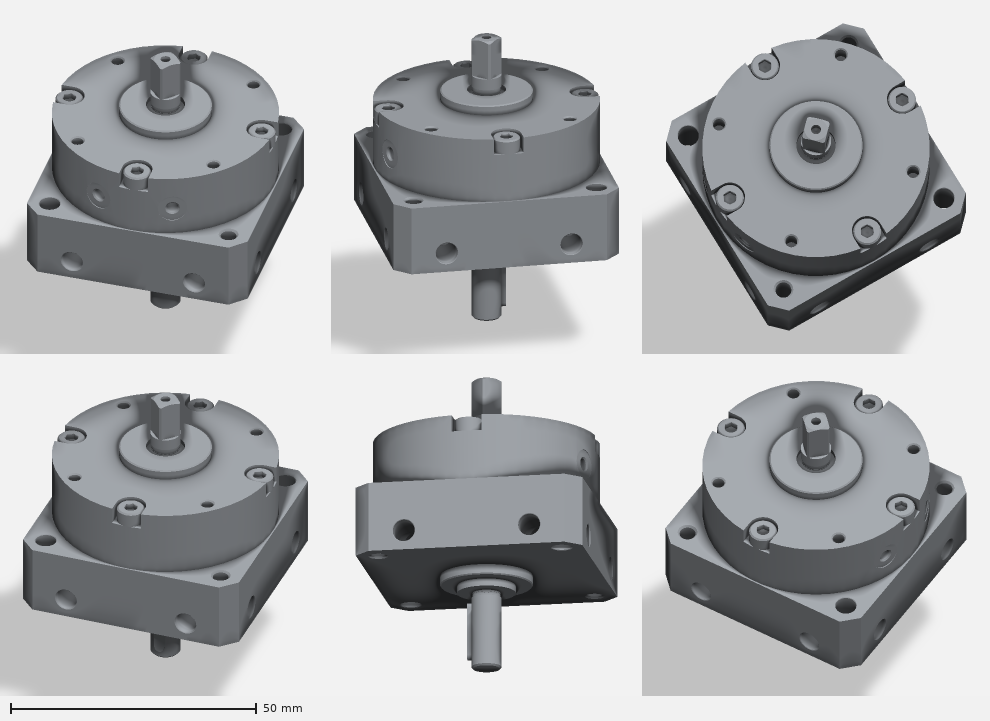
import cadquery as cq
import math

BLOCK_HEIGHT = 14.4
DRUM_TOP = 28.0
TOP_BOSS_TOP = 30.1
LOWER_BOSS_BOTTOM = -2.1
COLLAR_BOTTOM = -3.6
SHAFT_TOP = 41.4
SHAFT_LENGTH = 61.0
SHAFT_BOTTOM = SHAFT_TOP - SHAFT_LENGTH

BLOCK_SIDE = 47.0
BLOCK_CORNER_CUT = 3.2
CORNER_HOLE_OFFSET = 19.05
CLEARANCE_DIAMETER = 4.3
CLEARANCE_MOUTH = 4.5
THREADED_CORNER_DIAMETER = 3.25
THREADED_CORNER_MOUTH = 4.0
CROSS_HOLE_DIAMETER = 4.5
CROSS_HOLE_MOUTH = 4.75
CROSS_HOLE_OFFSET = 13.0
CROSS_HOLE_HEIGHT = 4.0

DRUM_DIAMETER = 46.4
BOSS_DIAMETER = 19.0
BOSS_CHAMFER = 0.25
COLLAR_DIAMETER = 12.0

BOLT_CIRCLE_RADIUS = 20.45
SCREW_HEAD_DIAMETER = 5.7
SCREW_HEAD_TOP = 27.6
SCREW_HEAD_CHAMFER = 0.3
SOCKET_ACROSS_FLATS = 2.5
SOCKET_MOUTH = 2.8
SOCKET_DEPTH = 1.3
POCKET_WIDTH = 6.2
POCKET_FLOOR = 24.6
THREAD_DIAMETER = 2.45
THREAD_MOUTH = 3.0
COVER_HOLE_DEPTH = 4.9

PORT_ANGLE = 20.0
PORT_HEIGHT = 20.55
PORT_FACE_DIAMETER = 6.0
PORT_DEPTH = 5.5

SHAFT_DIAMETER = 6.2
NECK_DIAMETER = 5.8
GROOVE_DIAMETER = 5.7
GROOVE_WIDTH = 0.35
UPPER_SHOULDER = 31.0
LOWER_SHOULDER = -4.7
UPPER_GROOVE_TOP = 30.2
LOWER_GROOVE_TOP = -3.9
SHAFT_END_CHAMFER = 0.35
SQUARE_BOTTOM = 33.35
SQUARE_ACROSS_FLATS = 4.75
TOP_END_DIAMETER = 4.65
TOP_END_CHAMFER_HEIGHT = 0.35
CENTRE_HOLE_DIAMETER = 2.0
CENTRE_HOLE_DEPTH = 2.0
CORE_DIAMETER = 8.0
CORE_CONE_HEIGHT = 0.6
UPPER_CONE_TOP = 29.65

KEY_WIDTH = 2.0
KEY_LENGTH = 12.0
KEY_TOP = -5.6
KEY_FACE = 3.9

DRILL_POINT_ANGLE = 118.0


def cylinder(diameter, bottom, top):
    """Cylinder on the Z axis between two heights."""
    return cq.Workplane("XY").workplane(offset=bottom).circle(diameter / 2).extrude(top - bottom)


def cone(bottom_diameter, top_diameter, height):
    """Cone frustum on the Z axis, standing on z = 0."""
    return cq.Workplane(cq.Solid.makeCone(bottom_diameter / 2, top_diameter / 2, height))


def mouth_chamfer(diameter, mouth):
    """45 degree countersink that opens upward and ends at z = 0."""
    depth = (mouth - diameter) / 2
    return cone(diameter, mouth, depth).translate((0, 0, -depth))


def blind_hole(diameter, mouth, depth):
    """Flat-bottomed hole going down from z = 0, with a chamfered mouth."""
    return cylinder(diameter, -depth, 0).union(mouth_chamfer(diameter, mouth))


def through_hole(diameter, mouth, length):
    """Hole of the given length going down from z = 0, chamfered at both ends."""
    lower_mouth = mouth_chamfer(diameter, mouth).mirror("XY").translate((0, 0, -length))
    return blind_hole(diameter, mouth, length).union(lower_mouth)


def drilled_hole(diameter, depth):
    """Hole going down from z = 0, whose floor is a drill point."""
    point_height = diameter / 2 / math.tan(math.radians(DRILL_POINT_ANGLE / 2))
    point = cone(0, diameter, point_height).translate((0, 0, -depth - point_height))
    return cylinder(diameter, -depth, 0).union(point)


def square_block():
    block = cq.Workplane("XY").rect(BLOCK_SIDE, BLOCK_SIDE).extrude(BLOCK_HEIGHT)
    return block.edges("|Z").chamfer(BLOCK_CORNER_CUT)


def cut_corner_holes(body):
    """Clearance holes on one diagonal of the block and tapped holes on the other."""
    clearance = through_hole(CLEARANCE_DIAMETER, CLEARANCE_MOUTH, BLOCK_HEIGHT)
    tapped = through_hole(THREADED_CORNER_DIAMETER, THREADED_CORNER_MOUTH, BLOCK_HEIGHT)
    for side in (-1, 1):
        x = side * CORNER_HOLE_OFFSET
        body = body.cut(clearance.translate((x, x, BLOCK_HEIGHT)))
        body = body.cut(tapped.translate((x, -x, BLOCK_HEIGHT)))
    return body


def cut_cross_holes(body):
    """Two holes along X and two along Y, all through the block at one height."""
    hole = through_hole(CROSS_HOLE_DIAMETER, CROSS_HOLE_MOUTH, BLOCK_SIDE)
    along_x = hole.rotate((0, 0, 0), (0, 1, 0), 90).translate((BLOCK_SIDE / 2, 0, CROSS_HOLE_HEIGHT))
    for side in (-1, 1):
        pair_member = along_x.translate((0, side * CROSS_HOLE_OFFSET, 0))
        body = body.cut(pair_member)
        body = body.cut(pair_member.rotate((0, 0, 0), (0, 0, 1), 90))
    return body


def drum_and_bosses():
    drum = cylinder(DRUM_DIAMETER, BLOCK_HEIGHT, DRUM_TOP)
    top_boss = cylinder(BOSS_DIAMETER, DRUM_TOP, TOP_BOSS_TOP).faces(">Z").chamfer(BOSS_CHAMFER)
    lower_boss = cylinder(BOSS_DIAMETER, LOWER_BOSS_BOTTOM, 0).faces("<Z").chamfer(BOSS_CHAMFER)
    collar = cylinder(COLLAR_DIAMETER, COLLAR_BOTTOM, LOWER_BOSS_BOTTOM)
    return drum.union(top_boss).union(lower_boss).union(collar)


def screw_pocket():
    """Round-ended slot that runs out through the drum wall on the +X side."""
    height = DRUM_TOP - POCKET_FLOOR
    run_out = DRUM_DIAMETER / 2
    round_end = cylinder(POCKET_WIDTH, POCKET_FLOOR, DRUM_TOP)
    channel = cq.Workplane("XY").box(run_out, POCKET_WIDTH, height, centered=(False, True, False))
    pocket = round_end.union(channel.translate((0, 0, POCKET_FLOOR)))
    return pocket.translate((BOLT_CIRCLE_RADIUS, 0, 0))


def hex_socket():
    """Hexagonal socket going down from z = 0, with corners toward Y, a round mouth and a drill point."""
    across_corners = SOCKET_ACROSS_FLATS / math.cos(math.radians(30))
    hexagon = cq.Workplane("XY").polygon(6, across_corners).extrude(-SOCKET_DEPTH)
    hexagon = hexagon.rotate((0, 0, 0), (0, 0, 1), 30)
    mouth = mouth_chamfer(SOCKET_ACROSS_FLATS, SOCKET_MOUTH)
    return hexagon.union(mouth).union(drilled_hole(SOCKET_ACROSS_FLATS, SOCKET_DEPTH))


def screw_head():
    """Chamfered cap screw head on the Z axis, standing on the pocket floor."""
    head = cylinder(SCREW_HEAD_DIAMETER, POCKET_FLOOR, SCREW_HEAD_TOP)
    head = head.faces(">Z").chamfer(SCREW_HEAD_CHAMFER)
    socket = hex_socket().translate((0, 0, SCREW_HEAD_TOP))
    return head.cut(socket)


def add_cover_screws(body):
    """Four cap screw heads in their pockets, with a threaded hole between each two.

    The sockets of all four heads are turned the same way.
    """
    hole = blind_hole(THREAD_DIAMETER, THREAD_MOUTH, COVER_HOLE_DEPTH)
    hole = hole.translate((BOLT_CIRCLE_RADIUS, 0, DRUM_TOP))
    for angle in (0, 90, 180, 270):
        body = body.cut(screw_pocket().rotate((0, 0, 0), (0, 0, 1), angle))
        x = BOLT_CIRCLE_RADIUS * math.cos(math.radians(angle))
        y = BOLT_CIRCLE_RADIUS * math.sin(math.radians(angle))
        body = body.union(screw_head().translate((x, y, 0)))
        body = body.cut(hole.rotate((0, 0, 0), (0, 0, 1), angle + 45))
    return body


def cut_ports(body):
    """Two radial threaded ports, each in a flat spot face, on either side of -Y."""
    drum_radius = DRUM_DIAMETER / 2
    face_radius = math.sqrt(drum_radius**2 - (PORT_FACE_DIAMETER / 2) ** 2)
    spot_face = cylinder(PORT_FACE_DIAMETER, 0, drum_radius - face_radius)
    port = blind_hole(THREAD_DIAMETER, THREAD_MOUTH, PORT_DEPTH).union(spot_face)
    port = port.rotate((0, 0, 0), (1, 0, 0), 90).translate((0, -face_radius, PORT_HEIGHT))
    for angle in (-PORT_ANGLE, PORT_ANGLE):
        body = body.cut(port.rotate((0, 0, 0), (0, 0, 1), angle))
    return body


def cut_shaft_bore(body):
    """Plain bore through both bosses and the collar, which fits the core of the shaft."""
    return body.cut(cylinder(CORE_DIAMETER, COLLAR_BOTTOM, TOP_BOSS_TOP))


def make_housing():
    body = square_block().union(drum_and_bosses())
    body = cut_corner_holes(body)
    body = cut_cross_holes(body)
    body = add_cover_screws(body)
    body = cut_ports(body)
    return cut_shaft_bore(body)


def ring_groove(top):
    """Ring-shaped cutter that narrows a neck below the given height."""
    ring = cylinder(SHAFT_DIAMETER, top - GROOVE_WIDTH, top)
    return ring.cut(cylinder(GROOVE_DIAMETER, top - GROOVE_WIDTH, top))


def square_end():
    """Upper shaft end: four flats with their corners toward X and Y, and a tapered tip."""
    tip_bottom = SHAFT_TOP - TOP_END_CHAMFER_HEIGHT
    tip = cone(SHAFT_DIAMETER, TOP_END_DIAMETER, TOP_END_CHAMFER_HEIGHT).translate((0, 0, tip_bottom))
    round_end = cylinder(SHAFT_DIAMETER, SQUARE_BOTTOM, tip_bottom).union(tip)
    square = cq.Workplane("XY").rect(SQUARE_ACROSS_FLATS, SQUARE_ACROSS_FLATS).extrude(SHAFT_TOP - SQUARE_BOTTOM)
    flats = square.rotate((0, 0, 0), (0, 0, 1), 45).translate((0, 0, SQUARE_BOTTOM))
    centre_hole = drilled_hole(CENTRE_HOLE_DIAMETER, CENTRE_HOLE_DEPTH).translate((0, 0, SHAFT_TOP))
    return round_end.intersect(flats).cut(centre_hole)


def key():
    """Round-ended key that stands out of the shaft on the +Y side."""
    profile = cq.Workplane("XZ").center(0, KEY_TOP - KEY_LENGTH / 2).slot2D(KEY_LENGTH, KEY_WIDTH, 90)
    return profile.extrude(-KEY_FACE)


def shaft_core():
    """Thick middle of the shaft inside the housing, with a cone up to the upper neck."""
    cone_bottom = UPPER_CONE_TOP - CORE_CONE_HEIGHT
    upper_cone = cone(CORE_DIAMETER, NECK_DIAMETER, CORE_CONE_HEIGHT).translate((0, 0, cone_bottom))
    return cylinder(CORE_DIAMETER, COLLAR_BOTTOM, cone_bottom).union(upper_cone)


def make_shaft():
    lower_end = cylinder(SHAFT_DIAMETER, SHAFT_BOTTOM, LOWER_SHOULDER).faces("<Z").chamfer(SHAFT_END_CHAMFER)
    necks = cylinder(NECK_DIAMETER, LOWER_SHOULDER, UPPER_SHOULDER)
    upper_end = cylinder(SHAFT_DIAMETER, UPPER_SHOULDER, SQUARE_BOTTOM).union(square_end())
    for groove_top in (LOWER_GROOVE_TOP, UPPER_GROOVE_TOP):
        necks = necks.cut(ring_groove(groove_top))
    return lower_end.union(necks).union(shaft_core()).union(upper_end).union(key())


housing = make_housing()
shaft = make_shaft()

result = cq.Compound.makeCompound([housing.val(), shaft.val()])